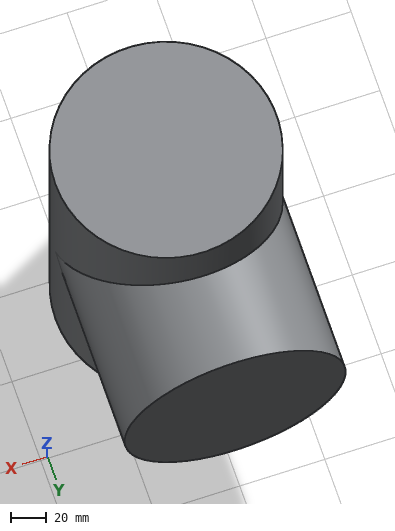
import cadquery as cq

diameter = 130.0
run_length = 200.0
branch_reach = 120.0

radius = diameter / 2

run = cq.Workplane("XY").circle(radius).extrude(run_length / 2, both=True)

branch = cq.Workplane("XZ").circle(radius).extrude(-branch_reach)

result = run.union(branch)